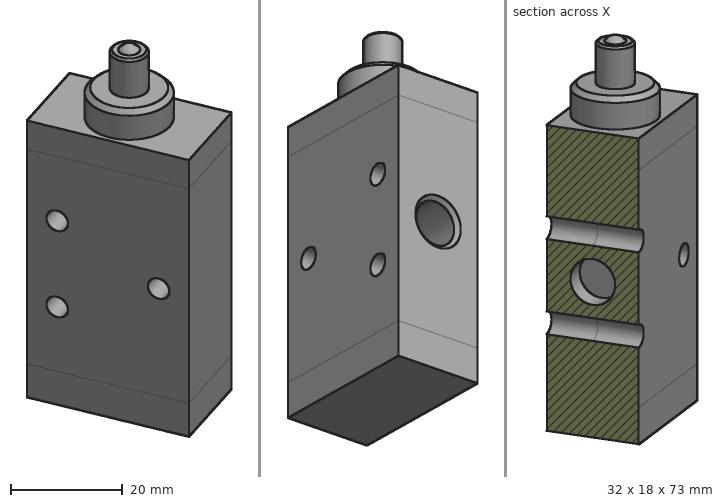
import cadquery as cq

width = 32.0
depth = 18.0
lower_cap_height = 7.0
body_height = 45.0
upper_cap_height = 6.0
body_top = lower_cap_height + body_height
block_top = body_top + upper_cap_height
body_middle = lower_cap_height + body_height / 2

overall_height = 73.0
collar_diameter = 16.0
collar_height = 6.05
collar_chamfer = 1.0
pin_diameter = 7.0
pin_chamfer = 0.45
tip_diameter = 3.95
tip_height = 1.0
collar_top = block_top + collar_height
pin_top = overall_height - tip_height

hole_diameter = 4.2
hole_offset_x = 10.0
hole_pitch_z = 18.0

port_diameter = 8.6
port_mouth_diameter = 10.3
port_depth = 10.0
port_chamfer = (port_mouth_diameter - port_diameter) / 2


def block(bottom, height):
    """Full-section block centred on the Z axis."""
    return cq.Workplane("XY").workplane(offset=bottom).rect(width, depth).extrude(height)


def chamfered_cylinder(bottom, top, diameter, chamfer):
    """Vertical cylinder with a chamfered upper rim."""
    cylinder = cq.Workplane("XY").workplane(offset=bottom).circle(diameter / 2).extrude(top - bottom)
    return cylinder.faces(">Z").edges().chamfer(chamfer)


def domed_tip():
    """Spherical cap standing on the pin."""
    base_radius = tip_diameter / 2
    sphere_radius = (base_radius**2 + tip_height**2) / (2 * tip_height)
    sphere = cq.Workplane("XY").sphere(sphere_radius).translate((0, 0, overall_height - sphere_radius))
    above_pin = cq.Workplane("XY").workplane(offset=pin_top).circle(pin_diameter / 2).extrude(tip_height)
    return sphere.intersect(above_pin)


def mounting_holes():
    """Two holes on the port side and one centred on the other side."""
    centres = [
        (-hole_offset_x, body_middle + hole_pitch_z / 2),
        (-hole_offset_x, body_middle - hole_pitch_z / 2),
        (hole_offset_x, body_middle),
    ]
    return cq.Workplane("XZ").pushPoints(centres).circle(hole_diameter / 2).extrude(depth, both=True)


def port():
    """Blind port with a chamfered mouth, revolved about its own axis along X."""
    bore_radius = port_diameter / 2
    mouth_radius = port_mouth_diameter / 2
    profile = (
        cq.Workplane("XY")
        .moveTo(0, 0)
        .lineTo(0, mouth_radius)
        .lineTo(port_chamfer, bore_radius)
        .lineTo(port_depth, bore_radius)
        .lineTo(port_depth, 0)
        .close()
    )
    return profile.revolve(360, (0, 0), (1, 0)).translate((-width / 2, 0, body_middle))


result = block(0, lower_cap_height)
result = result.union(block(lower_cap_height, body_height), clean=False)
result = result.union(block(body_top, upper_cap_height), clean=False)
result = result.union(chamfered_cylinder(block_top, collar_top, collar_diameter, collar_chamfer), clean=False)
result = result.union(chamfered_cylinder(collar_top, pin_top, pin_diameter, pin_chamfer), clean=False)
result = result.union(domed_tip(), clean=False)
result = result.cut(mounting_holes(), clean=False)
result = result.cut(port(), clean=False)